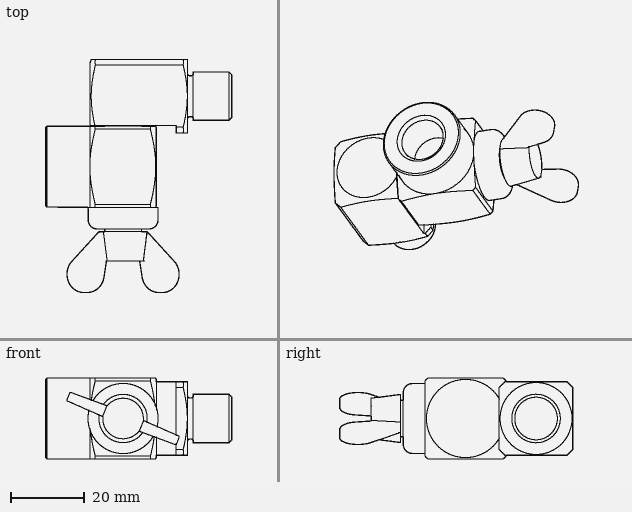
import cadquery as cq
import math


body_size = 22.0
body_length = 18.0
body_edge_chamfer = 0.8
body_end_circle_radius = 10.6
end_cone_angle = 20.0

inlet_diameter = 22.0
inlet_length = 12.0
inlet_rim_chamfer = 0.4
inlet_bore_diameter = 11.82
inlet_bore_depth = 12.0
inlet_bore_chamfer = 1.0
valve_tip_diameter = 5.0
valve_tip_height = 0.35
valve_tip_offset_y = 1.0

block_size = 20.0
block_length = 26.5
block_edge_chamfer = 1.6
block_left_circle_radius = 9.0
block_right_circle_radius = 9.75
block_relief = 2.0
flange_thickness = 3.1
joint_gap = 0.1
joint_diameter = 10.0

spigot_diameter = 13.16
spigot_length = 10.5
spigot_tip_chamfer = 0.8
undercut_diameter = 11.2
undercut_length = 1.5
undercut_fillet = 0.5

bonnet_diameter = 19.0
bonnet_length = 5.9
bonnet_fillet = 2.5
stem_diameter = 10.0
stem_gap = 0.7
hub_base_diameter = 13.1
hub_tip_diameter = 11.0
hub_length = 8.0
wing_lobe_radius = 5.0
wing_reach = 16.0
wing_overhang = 8.54
wing_inner_root_radius = 5.35
wing_tip_thickness = 2.5
wing_face_taper = 1.7
wing_edge_fillet = 0.3
wing_angle = 22.0

left_face_x = -body_length / 2
inlet_face_x = left_face_x - inlet_length
block_right_x = left_face_x + block_length
block_front_y = body_size / 2 + joint_gap
block_center_y = block_front_y - block_relief + block_size / 2
body_front_y = -body_size / 2
bonnet_face_y = body_front_y - bonnet_length
hub_base_y = bonnet_face_y - stem_gap
hub_tip_y = hub_base_y - hub_length


def rod_along_x(diameter, start_x, length, center_y=0.0):
    """Cylinder that starts at start_x and runs toward +X."""
    return (
        cq.Workplane("YZ", origin=(start_x, center_y, 0))
        .circle(diameter / 2)
        .extrude(length)
    )


def rod_along_y(diameter, start_y, length):
    """Cylinder on the stem axis that starts at start_y and runs toward -Y."""
    return cq.Workplane("XZ", origin=(0, start_y, 0)).circle(diameter / 2).extrude(length)


def cone_ended_block(size, start_x, length, center_y, edge_chamfer, left_radius, right_radius):
    """Square bar along X with chamfered edges, its corners turned off by a cone at both ends."""
    bar = (
        cq.Workplane("YZ", origin=(start_x, center_y, 0))
        .rect(size, size)
        .extrude(length)
        .edges("|X")
        .chamfer(edge_chamfer)
    )
    outer_radius = size * math.sqrt(0.5)
    cone_slope = math.tan(math.radians(end_cone_angle))
    left_depth = (outer_radius - left_radius) * cone_slope
    right_depth = (outer_radius - right_radius) * cone_slope
    envelope = (
        cq.Workplane("XY", origin=(start_x, center_y, 0))
        .lineTo(0, left_radius)
        .lineTo(left_depth, outer_radius)
        .lineTo(length - right_depth, outer_radius)
        .lineTo(length, right_radius)
        .lineTo(length, 0)
        .close()
        .revolve(360, (0, 0, 0), (1, 0, 0))
    )
    return bar.intersect(envelope)


def make_valve_body():
    return cone_ended_block(
        body_size, left_face_x, body_length, 0.0,
        body_edge_chamfer, inlet_diameter / 2, body_end_circle_radius,
    )


def make_inlet():
    socket = rod_along_x(inlet_diameter, inlet_face_x, inlet_length)
    return socket.faces("<X").edges().chamfer(inlet_rim_chamfer)


def make_inlet_bore():
    """Flat-bottomed bore with a countersunk mouth."""
    bore = rod_along_x(inlet_bore_diameter, inlet_face_x, inlet_bore_depth)
    countersink = cq.Workplane(
        cq.Solid.makeCone(
            inlet_bore_diameter / 2 + inlet_bore_chamfer,
            inlet_bore_diameter / 2,
            inlet_bore_chamfer,
            pnt=cq.Vector(inlet_face_x, 0, 0),
            dir=cq.Vector(1, 0, 0),
        )
    )
    return bore.union(countersink)


def make_valve_tip():
    """Shallow cone, off centre, on the floor of the inlet bore."""
    return cq.Workplane(
        cq.Solid.makeCone(
            valve_tip_diameter / 2,
            0,
            valve_tip_height,
            pnt=cq.Vector(inlet_face_x + inlet_bore_depth, valve_tip_offset_y, 0),
            dir=cq.Vector(-1, 0, 0),
        )
    )


def make_outlet_block():
    """Square block whose front is cut back, which leaves a full-height flange at its +X end."""
    block = cone_ended_block(
        block_size, left_face_x, block_length, block_center_y,
        block_edge_chamfer, block_left_circle_radius, block_right_circle_radius,
    )
    relief = cq.Workplane("XY").box(
        block_length - flange_thickness, block_relief, block_size, centered=(False, False, True)
    ).translate((left_face_x, block_front_y - block_relief, 0))
    return block.cut(relief)


def make_spigot():
    """Spigot with a round-cornered undercut next to the block."""
    undercut_radius = undercut_diameter / 2
    spigot_radius = spigot_diameter / 2
    end_x = undercut_length + spigot_length
    corner_mid = undercut_fillet * (1 - math.sqrt(0.5))
    return (
        cq.Workplane("XY", origin=(block_right_x, block_center_y, 0))
        .lineTo(0, undercut_radius + undercut_fillet)
        .threePointArc(
            (corner_mid, undercut_radius + corner_mid),
            (undercut_fillet, undercut_radius),
        )
        .lineTo(undercut_length - undercut_fillet, undercut_radius)
        .threePointArc(
            (undercut_length - corner_mid, undercut_radius + corner_mid),
            (undercut_length, undercut_radius + undercut_fillet),
        )
        .lineTo(undercut_length, spigot_radius)
        .lineTo(end_x - spigot_tip_chamfer, spigot_radius)
        .lineTo(end_x, spigot_radius - spigot_tip_chamfer)
        .lineTo(end_x, 0)
        .close()
        .revolve(360, (0, 0, 0), (1, 0, 0))
    )


def make_bonnet():
    bonnet = rod_along_y(bonnet_diameter, body_front_y, bonnet_length)
    return bonnet.faces("<Y").edges().fillet(bonnet_fillet)


def make_hub():
    return cq.Workplane(
        cq.Solid.makeCone(
            hub_base_diameter / 2,
            hub_tip_diameter / 2,
            hub_length,
            pnt=cq.Vector(0, hub_base_y, 0),
            dir=cq.Vector(0, -1, 0),
        )
    )


def tangent_point(start, center, radius, side):
    """Point where a line from start touches a circle, on its left (side 1) or right (side -1)."""
    back_x = start[0] - center[0]
    back_y = start[1] - center[1]
    direction = math.atan2(back_y, back_x)
    turn = math.acos(radius / math.hypot(back_x, back_y))
    angle = direction - side * turn
    return (center[0] + radius * math.cos(angle), center[1] + radius * math.sin(angle))


def make_wing():
    """Wing on the +X side: a round lobe tangent to both flanks, thinner toward its tip."""
    center = (wing_reach - wing_lobe_radius, hub_tip_y - wing_overhang + wing_lobe_radius)
    outer_root = (hub_base_diameter / 2, hub_base_y)
    inner_root = (wing_inner_root_radius, hub_tip_y)
    outer_touch = tangent_point(outer_root, center, wing_lobe_radius, 1)
    inner_touch = tangent_point(inner_root, center, wing_lobe_radius, -1)
    lobe_bottom = (center[0], center[1] - wing_lobe_radius)
    axis_thickness = wing_tip_thickness + 2 * wing_reach * math.tan(math.radians(wing_face_taper))
    outline = (
        cq.Workplane("XY")
        .moveTo(0, hub_base_y)
        .lineTo(*outer_root)
        .lineTo(*outer_touch)
        .threePointArc(lobe_bottom, inner_touch)
        .lineTo(*inner_root)
        .lineTo(0, hub_tip_y)
        .close()
        .extrude(axis_thickness / 2, both=True)
    )
    taper_wedge = (
        cq.Workplane("XZ", origin=(0, hub_base_y, 0))
        .moveTo(0, axis_thickness / 2)
        .lineTo(wing_reach, wing_tip_thickness / 2)
        .lineTo(wing_reach, -wing_tip_thickness / 2)
        .lineTo(0, -axis_thickness / 2)
        .close()
        .extrude(hub_length + wing_overhang)
    )
    rim_region = cq.selectors.BoxSelector(
        (wing_inner_root_radius, hub_base_y, -axis_thickness),
        (wing_reach, hub_tip_y - wing_overhang, axis_thickness),
    )
    wing = outline.intersect(taper_wedge)
    return wing.edges("not |Z").edges(rim_region).fillet(wing_edge_fillet)


def make_wing_handle():
    """Tapered hub with two opposite wings, turned about the stem axis."""
    handle = make_hub()
    wing = make_wing()
    for turn in (0, 180):
        handle = handle.union(wing.rotate((0, 0, 0), (0, 1, 0), turn))
    return handle.rotate((0, 0, 0), (0, 1, 0), wing_angle)


joint = rod_along_y(joint_diameter, block_front_y, joint_gap)
stem = rod_along_y(stem_diameter, bonnet_face_y, stem_gap)

result = (
    make_valve_body()
    .union(make_inlet())
    .union(joint)
    .union(make_outlet_block())
    .union(make_spigot())
    .union(make_bonnet())
    .union(stem)
    .union(make_wing_handle())
    .cut(make_inlet_bore())
    .union(make_valve_tip())
)